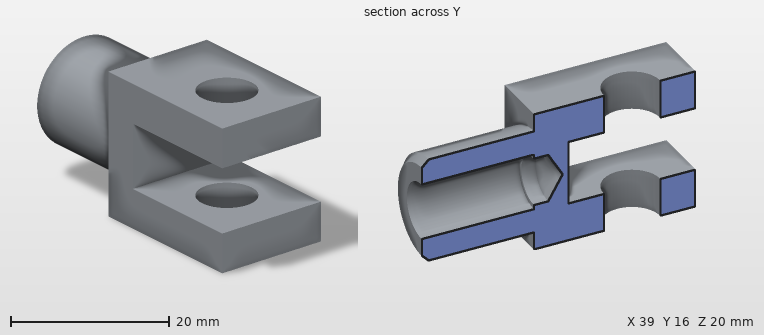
import cadquery as cq
import math

total_length = 39.0
fork_width = 16.0
fork_height = 20.0

shank_length = 16.0
shank_diameter = 15.0
shank_chamfer = 1.0

slot_length = 18.0
slot_height = 9.0

pin_diameter = 8.0
pin_to_fork_end = 9.0

bore_diameter = 8.0
bore_depth = shank_length
drill_diameter = 6.8
drill_depth = 18.0
drill_point_angle = 118.0


def make_shank():
    shank = cq.Workplane("YZ").circle(shank_diameter / 2).extrude(shank_length)
    return shank.faces("<X").chamfer(shank_chamfer)


def make_fork_block():
    return (
        cq.Workplane("YZ", origin=(shank_length, 0, 0))
        .rect(fork_width, fork_height)
        .extrude(total_length - shank_length)
    )


def make_slot():
    return (
        cq.Workplane("YZ", origin=(total_length - slot_length, 0, 0))
        .rect(fork_width, slot_height)
        .extrude(slot_length)
    )


def make_pin_hole():
    return (
        cq.Workplane("XY")
        .center(total_length - pin_to_fork_end, 0)
        .circle(pin_diameter / 2)
        .extrude(fork_height / 2, both=True)
    )


def make_bore():
    """Revolve the half profile of the stepped bore about the X axis."""
    bore_radius = bore_diameter / 2
    drill_radius = drill_diameter / 2
    point_length = drill_radius / math.tan(math.radians(drill_point_angle / 2))
    return (
        cq.Workplane("XY")
        .moveTo(0, 0)
        .lineTo(0, bore_radius)
        .lineTo(bore_depth, bore_radius)
        .lineTo(bore_depth, drill_radius)
        .lineTo(drill_depth, drill_radius)
        .lineTo(drill_depth + point_length, 0)
        .close()
        .revolve(360, (0, 0, 0), (1, 0, 0))
    )


body = make_shank().union(make_fork_block())
result = body.cut(make_slot()).cut(make_pin_hole()).cut(make_bore())